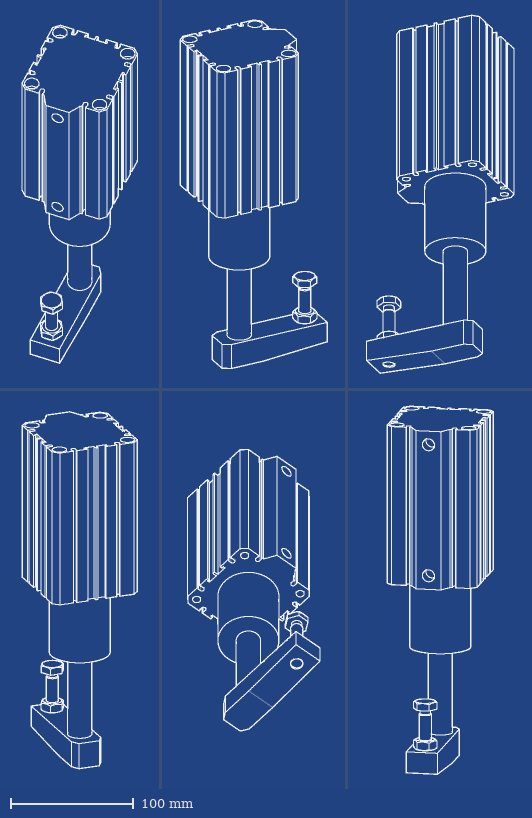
import cadquery as cq
import math


total_height = 284.8
total_depth = 111.5

housing_height = 132.5
collar_height = 59.0
arm_height = 22.0
housing_bottom = total_height - housing_height
collar_bottom = housing_bottom - collar_height

housing_width = 75.0
half_width = housing_width / 2
corner_chamfer = 4.8
port_pad_rise = 10.0
port_pad_half_width = 10.3
port_pad_base_half_width = 16.0

mount_hole_offset = 30.0
mount_hole_diameter = 6.5
mount_bore_diameter = 11.7
mount_bore_depth = 10.0

port_diameter = 10.0
port_depth = 14.2
port_end_distance = 11.5

slot_offset = 19.0
slot_mouth_width = 2.8
slot_channel_width = 3.7
slot_lip = 1.0
slot_depth = 5.7

groove_rib_width = 2.0
groove_mouth_edge = 8.0
groove_undercut_edge = 9.7
groove_lip = 2.0
groove_depth = 3.7

collar_diameter = 49.8
rod_diameter = 20.0

arm_width = 26.0
arm_length = 94.5
arm_front = total_depth - half_width
arm_back = arm_length - arm_front
arm_slope_start = 15.5
arm_slope_rise = 4.3
arm_chamfer_length = 6.5
arm_chamfer_width = 4.0

bolt_offset = 60.0
hex_flats = 17.0
hex_corners = hex_flats / math.cos(math.pi / 6)
hex_chamfer_angle = math.radians(30)
nut_height = 8.0
nut_face_radius = 7.7
head_height = 6.3
head_face_radius = 8.3
head_top = 61.8
head_bottom = head_top - head_height
bolt_end = 4.5
shank_diameter = 10.0
neck_diameter = 8.8
neck_length = 4.0
neck_taper = 0.9


def on_side_faces(cutter, angles):
    """Turn a cutter made for the +Y face to each of the given angles about Z."""
    return [cutter.rotate((0, 0, 0), (0, 0, 1), angle) for angle in angles]


def box_at_back_face(x_min, x_max, depth_from, depth_to):
    """Full-height box between two depths below the +Y face."""
    return (
        cq.Workplane("XY", origin=(0, half_width, housing_bottom))
        .moveTo(x_min, -depth_to)
        .lineTo(x_max, -depth_to)
        .lineTo(x_max, -depth_from)
        .lineTo(x_min, -depth_from)
        .close()
        .extrude(housing_height)
    )


def sensor_slot(x):
    """Cutter for one keyhole slot in the +Y face."""
    channel_radius = slot_channel_width / 2
    round_centre = slot_depth - channel_radius
    mouth = box_at_back_face(x - slot_mouth_width / 2, x + slot_mouth_width / 2, 0, round_centre)
    channel = box_at_back_face(x - channel_radius, x + channel_radius, slot_lip, round_centre)
    round_end = (
        cq.Workplane("XY", origin=(x, half_width - round_centre, housing_bottom))
        .circle(channel_radius)
        .extrude(housing_height)
    )
    return mouth.union(channel).union(round_end)


def undercut_groove(side):
    """Cutter for the groove on one side of the rib in the +Y face."""
    inner = side * groove_rib_width / 2
    mouth = box_at_back_face(inner, side * groove_mouth_edge, 0, groove_depth)
    undercut = box_at_back_face(inner, side * groove_undercut_edge, groove_lip, groove_depth)
    return mouth.union(undercut)


def make_housing():
    body = (
        cq.Workplane("XY", origin=(0, 0, housing_bottom))
        .rect(housing_width, housing_width)
        .extrude(housing_height)
        .edges("|Z")
        .chamfer(corner_chamfer)
    )

    pad_front = -half_width - port_pad_rise
    pad = (
        cq.Workplane("XY", origin=(0, 0, housing_bottom))
        .polyline([
            (-port_pad_base_half_width, -half_width),
            (-port_pad_half_width, pad_front),
            (port_pad_half_width, pad_front),
            (port_pad_base_half_width, -half_width),
        ])
        .close()
        .extrude(housing_height)
    )
    body = body.union(pad)

    body = (
        body.faces(">Z")
        .workplane(origin=(0, 0, total_height))
        .rect(2 * mount_hole_offset, 2 * mount_hole_offset, forConstruction=True)
        .vertices()
        .cboreHole(mount_hole_diameter, mount_bore_diameter, mount_bore_depth)
    )

    for side in (-1, 1):
        for slot in on_side_faces(sensor_slot(side * slot_offset), (0, 90, 180, 270)):
            body = body.cut(slot)
        for groove in on_side_faces(undercut_groove(side), (0, 90, 270)):
            body = body.cut(groove)

    for z in (housing_bottom + port_end_distance, total_height - port_end_distance):
        port = cq.Workplane("XZ", origin=(0, pad_front, z)).circle(port_diameter / 2).extrude(-port_depth)
        body = body.cut(port)
    return body


def make_collar():
    return cq.Workplane("XY", origin=(0, 0, collar_bottom)).circle(collar_diameter / 2).extrude(collar_height)


def make_rod():
    rod_length = collar_bottom - arm_height
    return cq.Workplane("XY", origin=(0, 0, arm_height)).circle(rod_diameter / 2).extrude(rod_length)


def bolt_cylinder(z_bottom, z_top):
    """Shank-sized cylinder on the bolt axis."""
    return (
        cq.Workplane("XY", origin=(0, -bolt_offset, z_bottom))
        .circle(shank_diameter / 2)
        .extrude(z_top - z_bottom)
    )


def make_arm():
    """Arm with a through hole for the bolt: the underside rises to the front, the back corners are cut off."""
    profile = (
        cq.Workplane("YZ")
        .polyline([
            (arm_back, 0),
            (arm_back, arm_height),
            (-arm_front, arm_height),
            (-arm_front, arm_slope_rise),
            (-arm_slope_start, 0),
        ])
        .close()
        .extrude(arm_width / 2, both=True)
    )
    half_arm = arm_width / 2
    plan = (
        cq.Workplane("XY")
        .polyline([
            (-half_arm, -arm_front),
            (half_arm, -arm_front),
            (half_arm, arm_back - arm_chamfer_length),
            (half_arm - arm_chamfer_width, arm_back),
            (arm_chamfer_width - half_arm, arm_back),
            (-half_arm, arm_back - arm_chamfer_length),
        ])
        .close()
        .extrude(arm_height)
    )
    return profile.intersect(plan).cut(bolt_cylinder(0, arm_height))


def chamfered_hex(z_bottom, height, face_radius, chamfer_bottom):
    """Hexagonal prism on the bolt axis with its corners turned off by a cone."""
    corner_radius = hex_corners / 2
    drop = (corner_radius - face_radius) * math.tan(hex_chamfer_angle)
    prism = (
        cq.Workplane("XY", origin=(0, -bolt_offset, z_bottom)).polygon(6, hex_corners).extrude(height)
    )
    turned = (
        cq.Workplane("XY", origin=(0, -bolt_offset, z_bottom)).circle(corner_radius).extrude(height)
    )
    turned = turned.faces(">Z").chamfer(drop, corner_radius - face_radius)
    if chamfer_bottom:
        turned = turned.faces("<Z").chamfer(drop, corner_radius - face_radius)
    return prism.intersect(turned)


def make_nut():
    nut_top = arm_height + nut_height
    nut = chamfered_hex(arm_height, nut_height, nut_face_radius, True)
    return nut.cut(bolt_cylinder(arm_height, nut_top))


def make_bolt():
    head = chamfered_hex(head_bottom, head_height, head_face_radius, False)
    neck_end = head_bottom - neck_length
    shank = (
        cq.Workplane("XZ", origin=(0, -bolt_offset, 0))
        .polyline([
            (0, bolt_end),
            (shank_diameter / 2, bolt_end),
            (shank_diameter / 2, neck_end - neck_taper),
            (neck_diameter / 2, neck_end),
            (neck_diameter / 2, head_bottom),
            (0, head_bottom),
        ])
        .close()
        .revolve(360, (0, 0, 0), (0, 1, 0))
    )
    return head.union(shank)


housing = make_housing()
collar = make_collar()
rod = make_rod()
arm = make_arm()
nut = make_nut()
bolt = make_bolt()

result = cq.Compound.makeCompound([
    housing.val(),
    collar.val(),
    rod.val(),
    arm.val(),
    nut.val(),
    bolt.val(),
])